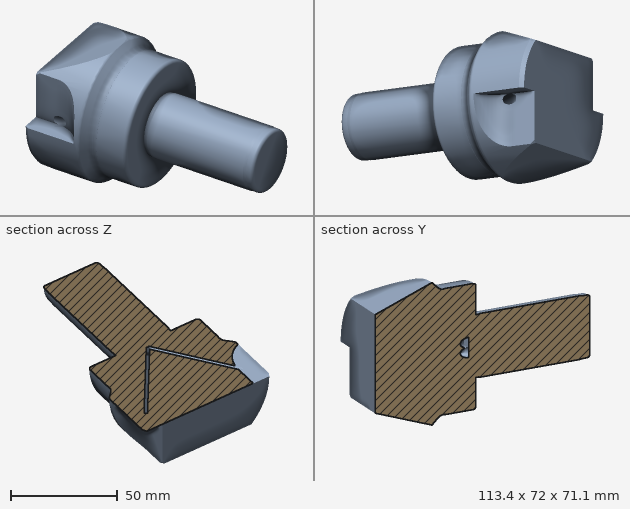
import cadquery as cq
import math

total_length = 113.4
head_radius = 36.0
nose_chamfer_length = 2.2
nose_chamfer_depth = 1.1
shoulder_angle = 45.0
crest_start = 28.6
crest_radius = 2.4
relief_radius = 62.8 / 2
relief_start = 35.8
relief_end = 36.8
root_radius = 3.9
collar_radius = 63.0 / 2
collar_end = 53.3
collar_rounding = 1.8
neck_radius = 31.5 / 2
neck_end = 54.6
shank_radius = 32.0 / 2
shank_start = 55.5
shank_end = 107.9
tail_radius = 31.5 / 2
tail_rounding = 1.7
tail_taper_length = 1.5

flat_front_height = 24.6
flat_angle = 20.0

pocket_wall = 25.9
pocket_straight = 12.2
pocket_radius = 16.1

hole_diameter = 5.0
hole_x = 13.7
hole_height = 2.4
hole_angle = 36.0
hole_overrun = 3.0

clearance = 45.4


def arc_offsets(radius, angle):
    """Distance along X and change of radius over an arc that starts parallel to the X axis."""
    sweep = math.radians(angle)
    return radius * math.sin(sweep), radius * (1 - math.cos(sweep))


def turned_body():
    """Head, rounded sloping shoulder, collar and shank as one revolved outline."""
    crest_length, crest_drop = arc_offsets(crest_radius, shoulder_angle)
    crest_middle_length, crest_middle_drop = arc_offsets(crest_radius, shoulder_angle / 2)
    root_length, root_rise = arc_offsets(root_radius, shoulder_angle)
    root_middle_length, root_middle_rise = arc_offsets(root_radius, shoulder_angle / 2)
    crest_middle = (crest_start + crest_middle_length, head_radius - crest_middle_drop)
    crest_end = (crest_start + crest_length, head_radius - crest_drop)
    root_start = (relief_start - root_length, relief_radius + root_rise)
    root_middle = (relief_start - root_middle_length, relief_radius + root_middle_rise)
    outline = (
        cq.Workplane("XY")
        .moveTo(0, 0)
        .lineTo(0, head_radius - nose_chamfer_depth)
        .lineTo(nose_chamfer_length, head_radius)
        .lineTo(crest_start, head_radius)
        .threePointArc(crest_middle, crest_end)
        .lineTo(*root_start)
        .threePointArc(root_middle, (relief_start, relief_radius))
        .lineTo(relief_end, relief_radius)
        .lineTo(relief_end + collar_radius - relief_radius, collar_radius)
        .lineTo(collar_end - collar_rounding, collar_radius)
        .radiusArc((collar_end, collar_radius - collar_rounding), collar_rounding)
        .lineTo(collar_end, neck_radius)
        .lineTo(neck_end, neck_radius)
        .lineTo(shank_start, shank_radius)
        .lineTo(shank_end, shank_radius)
        .lineTo(shank_end + tail_taper_length, tail_radius)
        .lineTo(total_length - tail_rounding, tail_radius)
        .radiusArc((total_length, tail_radius - tail_rounding), tail_rounding)
        .lineTo(total_length, 0)
        .close()
    )
    return outline.revolve(360, (0, 0, 0), (1, 0, 0))


def flat_cutter():
    """Wedge above the sloping flat on the +Z side of the head."""
    flat_length = relief_start
    rise = flat_length * math.tan(math.radians(flat_angle))
    return (
        cq.Workplane("XZ")
        .moveTo(0, flat_front_height)
        .lineTo(flat_length, flat_front_height + rise)
        .lineTo(0, flat_front_height + rise)
        .close()
        .extrude(clearance, both=True)
    )


def pocket_cutter():
    """Insert pocket on the -Y side, with its floor at Z = 0 and a curved back wall."""
    arc_center_y = -pocket_wall - pocket_radius
    return (
        cq.Workplane("XY")
        .moveTo(0, -pocket_wall)
        .lineTo(pocket_straight, -pocket_wall)
        .radiusArc((pocket_straight + pocket_radius, arc_center_y), pocket_radius)
        .lineTo(0, arc_center_y)
        .close()
        .extrude(clearance)
    )


def hole_cutter():
    """Slanted hole from the pocket wall to the plane Y = 0, starting just outside the wall."""
    angle = math.radians(hole_angle)
    direction = cq.Vector(math.cos(angle), math.sin(angle), 0)
    mouth = cq.Vector(hole_x, -pocket_wall, hole_height)
    length = hole_overrun + pocket_wall / math.sin(angle)
    start = mouth - direction * hole_overrun
    return cq.Workplane(cq.Solid.makeCylinder(hole_diameter / 2, length, start, direction))


result = turned_body()
for turn in (0, 180):
    for cutter in (flat_cutter(), pocket_cutter(), hole_cutter()):
        result = result.cut(cutter.rotate((0, 0, 0), (1, 0, 0), turn))